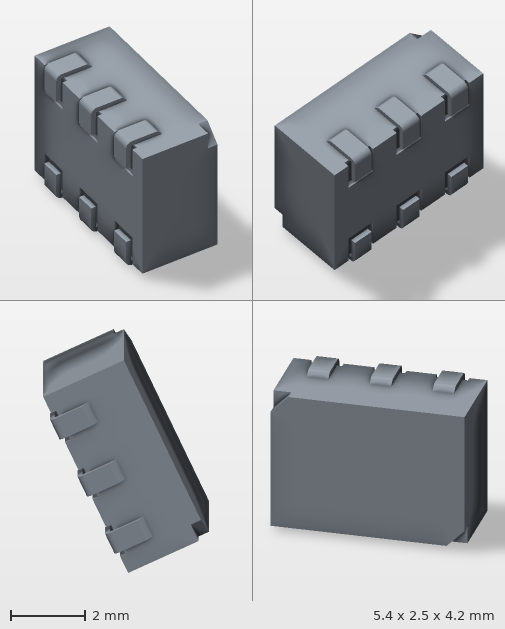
import cadquery as cq
import math

housing_length = 5.4
housing_height = 3.9
housing_depth = 2.4
front_y = -housing_depth / 2
back_y = housing_depth / 2
top_z = housing_height / 2

corner_cut = 0.5
corner_cut_depth = 0.3

pocket_width = 0.895
pocket_height = 0.9
pocket_depth = 0.15

terminal_pitch = 1.75
terminal_width = 0.6
terminal_thickness = 0.15
terminal_standoff = 0.1
terminal_length = 1.15
terminal_height = 0.85
bend_radius = 0.18
tail_radius = 0.16
tail_angle = 45.0

terminal_xs = [-terminal_pitch, 0, terminal_pitch]


def centered_box(length, depth, height, center):
    return cq.Workplane("XY").box(length, depth, height).translate(center)


def corner_cutter(side):
    """Triangular prism at the back corner on the given side (+1: +X +Z, -1: -X -Z)."""
    corner_x = side * housing_length / 2
    corner_z = side * top_z
    return (
        cq.Workplane("XZ", origin=(0, back_y, 0))
        .moveTo(corner_x, corner_z)
        .lineTo(corner_x - side * corner_cut, corner_z)
        .lineTo(corner_x, corner_z - side * corner_cut)
        .close()
        .extrude(corner_cut_depth)
    )


def make_housing():
    housing = cq.Workplane("XY").box(housing_length, housing_depth, housing_height)
    for x in terminal_xs:
        for side in (1, -1):
            pocket_center = (x, front_y + pocket_depth / 2, side * (top_z - pocket_height / 2))
            housing = housing.cut(centered_box(pocket_width, pocket_depth, pocket_height, pocket_center))
    for side in (1, -1):
        housing = housing.cut(corner_cutter(side))
    return housing


def make_terminal(x, side):
    """Terminal at x on the top (side = +1) or bottom (side = -1) face of the housing."""
    outer_y = front_y - terminal_standoff
    inner_y = outer_y + terminal_thickness
    tail_y = outer_y + terminal_length
    outer_z = top_z + terminal_thickness
    tip_z = outer_z - terminal_height

    slope = math.radians(tail_angle)
    roll_drop = tail_radius * (1 - math.cos(slope))
    slope_end_y = tail_y - (terminal_thickness - roll_drop) / math.tan(slope)
    roll_end_y = slope_end_y - tail_radius * math.sin(slope)
    roll_mid = (
        roll_end_y + tail_radius * math.sin(slope / 2),
        outer_z - tail_radius * (1 - math.cos(slope / 2)),
    )
    bend_mid_inset = bend_radius * (1 - math.cos(math.pi / 4))

    top_terminal = (
        cq.Workplane("YZ", origin=(x - terminal_width / 2, 0, 0))
        .moveTo(tail_y, top_z)
        .lineTo(slope_end_y, outer_z - roll_drop)
        .threePointArc(roll_mid, (roll_end_y, outer_z))
        .lineTo(outer_y + bend_radius, outer_z)
        .threePointArc(
            (outer_y + bend_mid_inset, outer_z - bend_mid_inset),
            (outer_y, outer_z - bend_radius),
        )
        .lineTo(outer_y, tip_z)
        .lineTo(inner_y, tip_z)
        .lineTo(inner_y, top_z)
        .close()
        .extrude(terminal_width)
    )
    return top_terminal if side > 0 else top_terminal.mirror("XY")


housing = make_housing()
terminals = [make_terminal(x, side) for x in terminal_xs for side in (1, -1)]

result = cq.Compound.makeCompound([housing.val(), *[terminal.val() for terminal in terminals]])